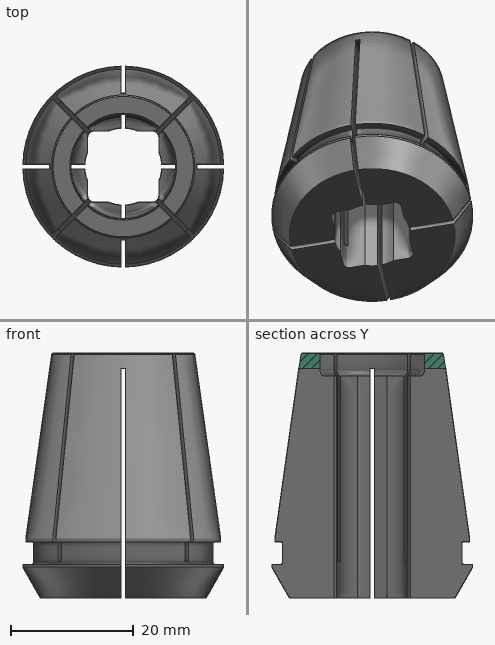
import cadquery as cq
import math

height = 40.0
flange_radius = 16.4

nose_end_radius = 13.5
flange_bottom = 5.05
flange_top = 5.5

groove_radius = 14.7
groove_top = 9.2
groove_fillet = 0.25

taper_half_angle = 8.0
taper_base_radius = 15.9
rim_height = 0.5
top_chamfer = 0.2

counterbore_radius = 8.5
counterbore_depth = 3.75
counterbore_chamfer = 0.2
counterbore_cove = 0.9

square_side = 11.6
square_corner_radius = 1.0
relief_radius = 6.3

slot_width = 0.7
slot_length = 2 * (flange_radius + slot_width)
nose_slot_end = 37.5
taper_slot_end = 6.0

taper_start = groove_top + rim_height
taper_top_radius = taper_base_radius - (height - taper_start) * math.tan(math.radians(taper_half_angle))


def make_body():
    """Solid of revolution with the outer shape of the collet."""
    outline = (
        cq.Workplane("XZ")
        .lineTo(nose_end_radius, 0)
        .lineTo(flange_radius, flange_bottom)
        .lineTo(flange_radius, flange_top)
        .lineTo(groove_radius + groove_fillet, flange_top)
        .radiusArc((groove_radius, flange_top + groove_fillet), groove_fillet)
        .lineTo(groove_radius, groove_top - groove_fillet)
        .radiusArc((groove_radius + groove_fillet, groove_top), groove_fillet)
        .lineTo(taper_base_radius, groove_top)
        .lineTo(taper_base_radius, taper_start)
        .lineTo(taper_top_radius, height)
        .lineTo(0, height)
        .close()
    )
    body = outline.revolve(360, (0, 0, 0), (0, 1, 0))
    return body.faces(">Z").chamfer(top_chamfer)


def make_counterbore():
    """Round recess in the small end, with a coved floor edge and a chamfered mouth."""
    floor = height - counterbore_depth
    recess = cq.Workplane("XY").workplane(offset=floor).circle(counterbore_radius).extrude(counterbore_depth)
    recess = recess.faces("<Z").edges().fillet(counterbore_cove)
    mouth = (
        cq.Workplane("XY")
        .workplane(offset=height)
        .circle(counterbore_radius + counterbore_chamfer)
        .workplane(offset=-counterbore_chamfer)
        .circle(counterbore_radius)
        .loft()
    )
    return recess.union(mouth)


def make_square_hole():
    """Square hole with rounded corners, relieved by a round bore at the middle of each flat."""
    square = cq.Workplane("XY").rect(square_side, square_side).extrude(height)
    square = square.edges("|Z").fillet(square_corner_radius)
    relief = cq.Workplane("XY").circle(relief_radius).extrude(height)
    return square.union(relief)


def make_cross_slots(bottom, top, first_angle):
    """Two slots crossing on the axis, long enough to split the wall in four places."""
    slots = cq.Workplane("XY")
    for angle in (first_angle, first_angle + 90):
        slot = cq.Workplane("XY").workplane(offset=bottom).rect(slot_length, slot_width)
        slots = slots.union(slot.extrude(top - bottom).rotate((0, 0, 0), (0, 0, 1), angle))
    return slots


nose_slots = make_cross_slots(0, nose_slot_end, 0)
taper_slots = make_cross_slots(taper_slot_end, height, 45)

result = make_body().cut(make_counterbore()).cut(make_square_hole()).cut(nose_slots).cut(taper_slots)